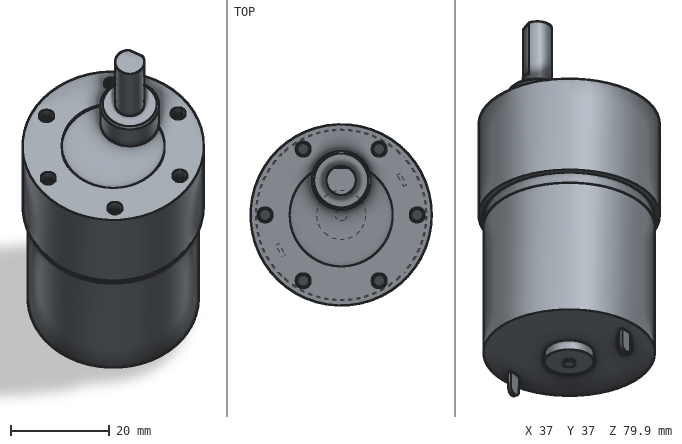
import cadquery as cq

total_height = 79.9

gearbox_diameter = 37.0
gearbox_height = 21.5
boss_diameter = 12.0
boss_height = 6.0
boss_chamfer = 0.5
shaft_offset = 7.0
shaft_diameter = 6.0
shaft_length = 15.0
flat_length = 12.0
flat_depth = 0.5

recess_diameter = 21.0
recess_depth = 0.5
hole_count = 6
hole_circle_diameter = 31.0
hole_diameter = 3.0
hole_depth = 4.0
pilot_diameter = 2.5
pilot_depth = 5.0

motor_diameter = 35.0
motor_height = 30.05
motor_chamfer = 0.15
neck_diameter = 34.5

bearing_diameter = 10.0
bearing_height = 2.15
stub_diameter = 2.4
stub_height = 0.55

terminal_length = 4.95
terminal_width = 2.6
terminal_thickness = 0.7
terminal_radius = 14.3
terminal_angles = (30, 210)

motor_base = terminal_length
motor_top = motor_base + motor_height
boss_top = total_height - shaft_length
gearbox_top = boss_top - boss_height
gearbox_base = gearbox_top - gearbox_height


def cylinder(diameter, bottom, top, y=0):
    """Vertical cylinder between two levels, centred on the Y axis at y."""
    base = cq.Workplane("XY", origin=(0, y, bottom))
    return base.circle(diameter / 2).extrude(top - bottom)


def hole_ring(diameter, depth):
    """Ring of cylinders sunk from the gearbox face, used as a cutter."""
    return (
        cq.Workplane("XY", origin=(0, 0, gearbox_top))
        .polarArray(hole_circle_diameter / 2, 0, 360, hole_count)
        .circle(diameter / 2)
        .extrude(-depth)
    )


def make_gearbox():
    body = cylinder(gearbox_diameter, gearbox_base, gearbox_top)
    recess = cylinder(recess_diameter, gearbox_top - recess_depth, gearbox_top)
    holes = hole_ring(hole_diameter, hole_depth)
    pilots = hole_ring(pilot_diameter, pilot_depth)
    return body.cut(recess).cut(holes).cut(pilots)


def make_output_boss():
    boss = cylinder(boss_diameter, gearbox_top - recess_depth, boss_top, shaft_offset)
    return boss.faces(">Z").edges().chamfer(boss_chamfer)


def make_output_shaft():
    shaft = cylinder(shaft_diameter, boss_top, total_height, shaft_offset)
    flat_y = shaft_offset + shaft_diameter / 2 - flat_depth
    flat_cutter = cq.Workplane("XY", origin=(0, flat_y, total_height - flat_length)).box(
        shaft_diameter, shaft_diameter, flat_length, centered=(True, False, False)
    )
    return shaft.cut(flat_cutter)


def make_motor():
    can = cylinder(motor_diameter, motor_base, motor_top).faces(">Z").edges().chamfer(motor_chamfer)
    neck = cylinder(neck_diameter, motor_top, gearbox_base)
    bearing_base = motor_base - bearing_height
    bearing = cylinder(bearing_diameter, bearing_base, motor_base)
    stub = cylinder(stub_diameter, bearing_base - stub_height, bearing_base)
    return can.union(neck).union(bearing).union(stub)


def make_terminal(angle):
    """Flat tab with a fully rounded tip, turned about the motor axis."""
    half_width = terminal_width / 2
    tab = (
        cq.Workplane("YZ", origin=(terminal_radius - terminal_thickness / 2, 0, 0))
        .moveTo(-half_width, motor_base)
        .lineTo(-half_width, half_width)
        .threePointArc((0, 0), (half_width, half_width))
        .lineTo(half_width, motor_base)
        .close()
        .extrude(terminal_thickness)
    )
    return tab.rotate((0, 0, 0), (0, 0, 1), angle)


result = make_motor().union(make_gearbox()).union(make_output_boss()).union(make_output_shaft())
for terminal_angle in terminal_angles:
    result = result.union(make_terminal(terminal_angle))